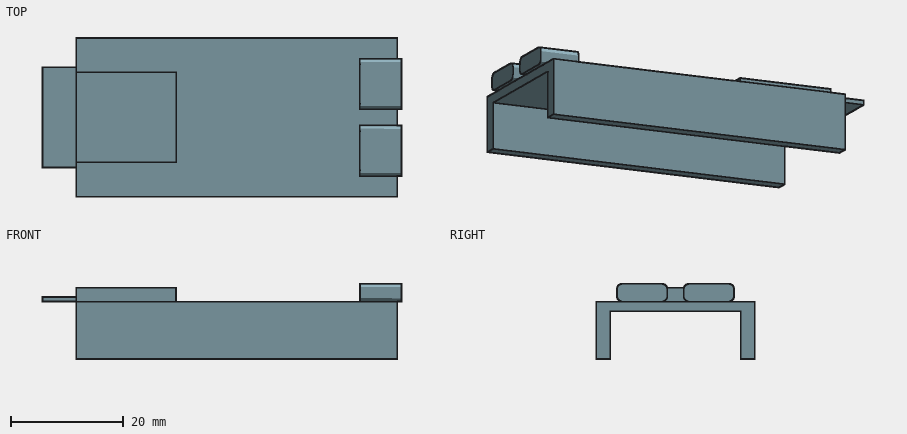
import cadquery as cq

total_length = 63.7
total_height = 13.4

carrier_width = 28.2
carrier_length = 57.0
carrier_height = 10.2
plate_thickness = 1.7
leg_thickness = 2.55

antenna_length = 6.0
antenna_width = 17.85
antenna_thickness = 0.8

shield_length = 17.7
shield_width = 15.95
shield_height = 2.5

connector_length = 7.4
connector_width = 9.0
connector_spacing = 11.85
connector_edge_radius = 1.0
connector_height = total_height - carrier_height

carrier_start = antenna_length
plate_top = carrier_height


def block(length, width, height, start_x, center_y, bottom_z):
    """Box that starts at start_x, rests on bottom_z and is centred on center_y."""
    return (
        cq.Workplane("XY")
        .box(length, width, height, centered=(False, True, False))
        .translate((start_x, center_y, bottom_z))
    )


def make_channel():
    outer = block(carrier_length, carrier_width, carrier_height, carrier_start, 0, 0)
    inner_width = carrier_width - 2 * leg_thickness
    inner_height = carrier_height - plate_thickness
    return outer.cut(block(carrier_length, inner_width, inner_height, carrier_start, 0, 0))


def make_connector(center_y):
    start_x = total_length - connector_length
    connector = block(connector_length, connector_width, connector_height, start_x, center_y, plate_top)
    return connector.edges("|X").fillet(connector_edge_radius)


def make_carrier():
    """Channel with its shield block and both connectors in one solid."""
    carrier = make_channel()
    carrier = carrier.union(block(shield_length, shield_width, shield_height, carrier_start, 0, plate_top))
    for side in (-1, 1):
        carrier = carrier.union(make_connector(side * connector_spacing / 2))
    return carrier


def make_antenna():
    """Thin tongue butted against the end face of the shield, level with the plate top."""
    return block(antenna_length, antenna_width, antenna_thickness, 0, 0, plate_top)


carrier = make_carrier()
antenna = make_antenna()

result = cq.Compound.makeCompound([carrier.val(), antenna.val()])